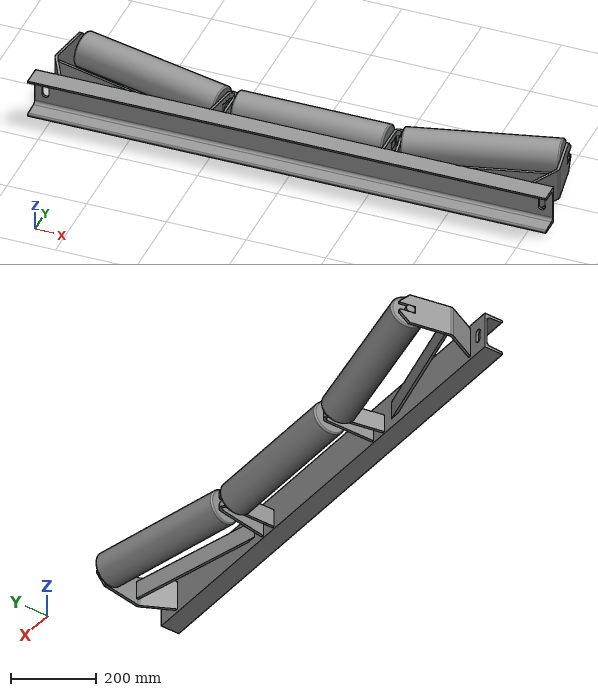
import cadquery as cq
import math

beam_length = 1300.0
beam_height = 100.0
beam_depth = 51.0
web_thickness = 6.0
flange_root = 9.0
flange_tip = 6.0
root_fillet = 8.0
toe_fillet = 4.0
bolt_slot_length = 36.0
bolt_slot_width = 17.0
bolt_slot_inset = 27.0

roller_diameter = 90.0
roller_length = 381.0
roller_edge_fillet = 4.0
shaft_diameter = 23.0
shaft_flat_width = 20.0
roller_drop = 20.0
middle_roller_y = 166.0
wing_centre_x = 415.0
wing_centre_y = 203.0
wing_angle = 10.0
wing_rise_angle = math.degrees(math.asin(roller_drop / roller_length))

plate = 6.0
outer_bracket_height = 82.0
flat_bar_height = 50.0

inner_bend_radius = 13.0
inner_bend_x = 209.0
inner_bend_y = 183.0

arm_corner_x = 633.0
arm_corner_y = 131.0
arm_tip_y = 265.0
arm_tip_chamfer = 25.0
arm_bend_radius = 14.0
foot_angle = 27.0

stay_angle = 14.3
stay_start_y = 140.0

SIDES = (-1, 1)
wing_slope = math.tan(math.radians(wing_angle))
wing_cos = math.cos(math.radians(wing_angle))
wing_sin = math.sin(math.radians(wing_angle))


def mirrored_to(side, body):
    """Bodies are built on the +X side; side -1 gives their mirror image."""
    return body if side > 0 else body.mirror("YZ")


def make_beam():
    half = beam_height / 2
    inner_y = beam_depth - web_thickness
    beam = (
        cq.Workplane("YZ")
        .moveTo(beam_depth, -half)
        .lineTo(beam_depth, half)
        .lineTo(0, half)
        .lineTo(0, half - flange_tip)
        .lineTo(inner_y, half - flange_root)
        .lineTo(inner_y, flange_root - half)
        .lineTo(0, flange_tip - half)
        .lineTo(0, -half)
        .close()
        .extrude(beam_length / 2, both=True)
    )
    for z_side in SIDES:
        root = cq.NearestToPointSelector((0, inner_y, z_side * (half - flange_root)))
        beam = beam.edges(root).fillet(root_fillet)
        toe = cq.NearestToPointSelector((0, 0, z_side * (half - flange_tip)))
        beam = beam.edges(toe).fillet(toe_fillet)
    slot_x = beam_length / 2 - bolt_slot_inset
    bolt_slots = (
        cq.Workplane("XZ")
        .pushPoints([(side * slot_x, 0) for side in SIDES])
        .slot2D(bolt_slot_length, bolt_slot_width, 90)
        .extrude(-2 * beam_depth)
    )
    return beam.cut(bolt_slots)


def place_middle(body):
    return body.translate((0, middle_roller_y, -roller_drop))


def place_wing(body):
    """Move a body from the roller's own frame (axis along X) to the +X wing."""
    return (
        body.rotate((0, 0, 0), (0, 1, 0), -wing_rise_angle)
        .rotate((0, 0, 0), (0, 0, 1), wing_angle)
        .translate((wing_centre_x, wing_centre_y, -roller_drop / 2))
    )


def make_roller(shaft_length):
    """Roller with its flatted shaft, axis along X, centred on the origin."""
    drum = (
        cq.Workplane("YZ", origin=(-roller_length / 2, 0, 0))
        .circle(roller_diameter / 2)
        .extrude(roller_length)
        .edges()
        .fillet(roller_edge_fillet)
    )
    shaft = (
        cq.Workplane("YZ", origin=(-shaft_length / 2, 0, 0))
        .circle(shaft_diameter / 2)
        .extrude(shaft_length)
    )
    flats = cq.Workplane("XY").box(shaft_length, shaft_diameter, shaft_flat_width)
    return drum.union(shaft.intersect(flats))


def make_shaft_slots(shaft_length):
    """Slots open towards +Y that the shaft ends drop into."""
    slot_depth = roller_diameter
    return (
        cq.Workplane("XY")
        .box(shaft_length, slot_depth, shaft_flat_width)
        .translate((0, slot_depth / 2 - shaft_diameter / 2, 0))
    )


def inner_bracket_block(bend_radius):
    """Solid bounded by the two legs and the bend, level with the low inner shaft ends."""
    tangent_x = inner_bend_x + bend_radius * wing_cos
    tangent_y = inner_bend_y + bend_radius * wing_sin
    foot_x = tangent_x + (tangent_y - beam_depth) * wing_slope
    return (
        cq.Workplane("XY")
        .moveTo(inner_bend_x - bend_radius, beam_depth)
        .lineTo(inner_bend_x - bend_radius, inner_bend_y)
        .threePointArc((inner_bend_x, inner_bend_y + bend_radius), (tangent_x, tangent_y))
        .lineTo(foot_x, beam_depth)
        .close()
        .extrude(flat_bar_height)
        .translate((0, 0, -roller_drop - flat_bar_height / 2))
    )


def make_inner_bracket():
    outside = inner_bracket_block(inner_bend_radius)
    inside = inner_bracket_block(inner_bend_radius - plate)
    return outside.cut(inside)


def make_outer_bracket():
    foot_tan = math.tan(math.radians(foot_angle))
    foot_x = arm_corner_x - (arm_corner_y - beam_depth) * foot_tan
    tip_x = arm_corner_x - (arm_tip_y - arm_corner_y) * wing_slope
    arm_width = plate / wing_cos
    foot_width = plate / math.cos(math.radians(foot_angle))
    inside_rise = (arm_width - foot_width) / (wing_slope + foot_tan)
    inside_y = arm_corner_y - inside_rise
    inside_x = arm_corner_x - arm_width + inside_rise * wing_slope
    bracket = (
        cq.Workplane("XY")
        .moveTo(foot_x, beam_depth)
        .lineTo(arm_corner_x, arm_corner_y)
        .lineTo(tip_x, arm_tip_y)
        .lineTo(tip_x - arm_width, arm_tip_y)
        .lineTo(inside_x, inside_y)
        .lineTo(foot_x - foot_width, beam_depth)
        .close()
        .extrude(outer_bracket_height / 2, both=True)
    )
    outside_corner = cq.NearestToPointSelector((arm_corner_x, arm_corner_y, 0))
    bracket = bracket.edges(outside_corner).fillet(arm_bend_radius)
    inside_corner = cq.NearestToPointSelector((inside_x, inside_y, 0))
    bracket = bracket.edges(inside_corner).fillet(arm_bend_radius - plate)
    return bracket.faces(">Y").edges("|X").chamfer(arm_tip_chamfer)


def make_stay(outer_bracket):
    """Flat stay, trimmed where it meets the outer bracket."""
    slope = math.tan(math.radians(stay_angle))
    start_x = arm_corner_x - plate
    foot_x = start_x - (stay_start_y - beam_depth) / slope
    foot_width = plate / math.sin(math.radians(stay_angle))
    stay = (
        cq.Workplane("XY")
        .moveTo(foot_x, beam_depth)
        .lineTo(start_x, stay_start_y)
        .lineTo(start_x, stay_start_y - foot_width * slope)
        .lineTo(foot_x + foot_width, beam_depth)
        .close()
        .extrude(flat_bar_height / 2, both=True)
    )
    return stay.cut(outer_bracket)


middle_shaft_length = 2 * (inner_bend_x - inner_bend_radius + plate)
arm_face_distance = (arm_corner_x - wing_centre_x) * wing_cos + (arm_corner_y - wing_centre_y) * wing_sin
wing_shaft_length = 2 * arm_face_distance

middle_slots = place_middle(make_shaft_slots(middle_shaft_length))
wing_slots = place_wing(make_shaft_slots(wing_shaft_length + plate))

beam = make_beam()
middle_roller = place_middle(make_roller(middle_shaft_length))
wing_roller = place_wing(make_roller(wing_shaft_length))
inner_bracket = make_inner_bracket().cut(middle_slots).cut(wing_slots)
solid_outer_bracket = make_outer_bracket()
stay = make_stay(solid_outer_bracket)
outer_bracket = solid_outer_bracket.cut(wing_slots)

bodies = [beam.val(), middle_roller.val()]
for side in SIDES:
    for body in (wing_roller, inner_bracket, outer_bracket, stay):
        bodies.extend(mirrored_to(side, body).vals())

result = cq.Compound.makeCompound(bodies)